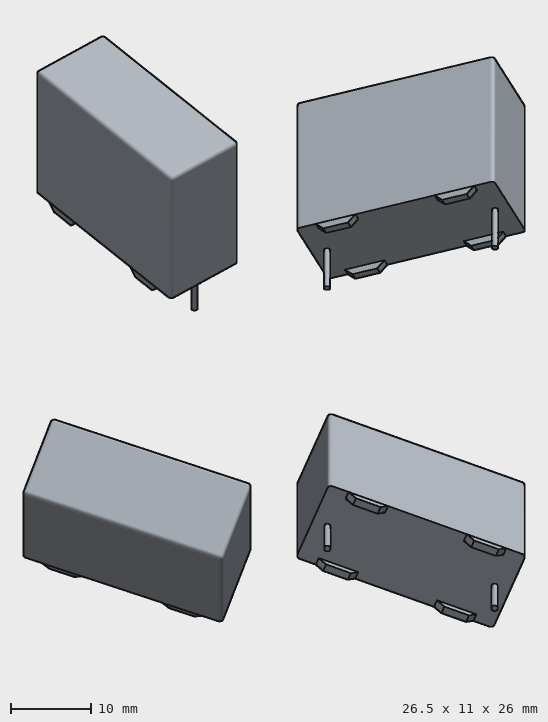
import cadquery as cq

HOUSING_LENGTH = 26.5
HOUSING_WIDTH = 11.0
HOUSING_HEIGHT = 20.0
EDGE_RADIUS = 0.5

PIN_DIAMETER = 0.8
PIN_LENGTH = 6.0
PIN_SPACING = 22.5

FOOT_HEIGHT = 1.0
FOOT_THICKNESS = 1.0
FOOT_TOP_LENGTH = 5.3
FOOT_BOTTOM_LENGTH = 3.3
FOOT_SPACING = 15.9


def make_housing():
    """Rounded block with a sharp-edged flat base."""
    return (
        cq.Workplane("XY")
        .box(HOUSING_LENGTH, HOUSING_WIDTH, HOUSING_HEIGHT, centered=(True, True, False))
        .edges("|Z or >Z")
        .fillet(EDGE_RADIUS)
    )


def make_pin(x):
    """Lead pin hanging from the base at the given X."""
    return cq.Workplane("XY").center(x, 0).circle(PIN_DIAMETER / 2).extrude(-PIN_LENGTH)


def make_foot(x, side):
    """Foot centred at the given X, flush with the +Y (side = 1) or -Y (side = -1) face."""
    half_top = FOOT_TOP_LENGTH / 2
    half_bottom = FOOT_BOTTOM_LENGTH / 2
    y_center = side * (HOUSING_WIDTH - FOOT_THICKNESS) / 2
    return (
        cq.Workplane("XZ", origin=(x, y_center, 0))
        .polyline([
            (-half_top, 0),
            (half_top, 0),
            (half_bottom, -FOOT_HEIGHT),
            (-half_bottom, -FOOT_HEIGHT),
        ])
        .close()
        .extrude(FOOT_THICKNESS / 2, both=True)
    )


housing = make_housing()
pins = [make_pin(end * PIN_SPACING / 2) for end in (-1, 1)]
feet = [make_foot(end * FOOT_SPACING / 2, side) for end in (-1, 1) for side in (-1, 1)]

result = cq.Compound.makeCompound([
    housing.val(),
    *[pin.val() for pin in pins],
    *[foot.val() for foot in feet],
])